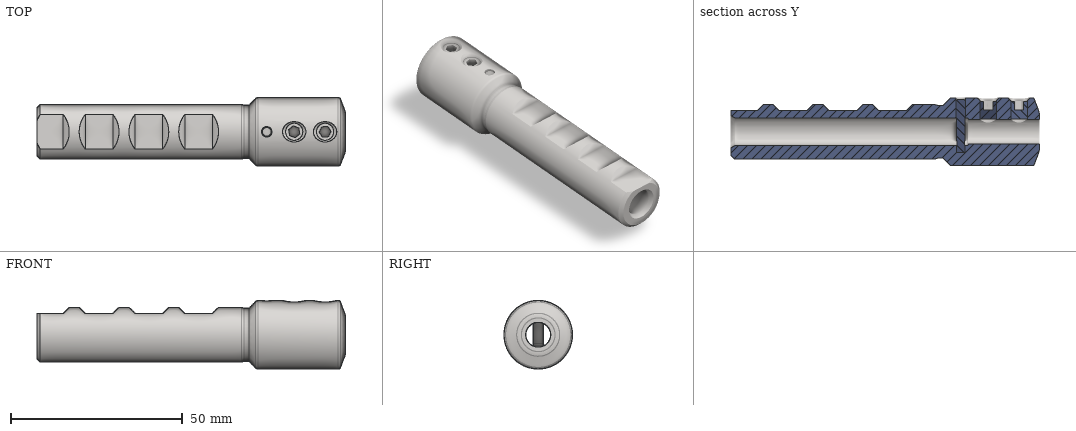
import cadquery as cq
import math

total_length = 90.0
shank_radius = 8.0
head_radius = 10.0

rear_chamfer_length = 1.0
rear_chamfer_height = 1.05

rear_bore_radius = 4.0
front_bore_radius = 3.6
mouth_radius = 4.75
mouth_half_angle = math.radians(30)
shoulder_half_angle = math.radians(59)
bore_shoulder_x = 69.0

undercut_start = 59.6
undercut_floor_start = 60.4
undercut_floor_end = 61.65
undercut_depth = 0.25
undercut_fillet = 0.4

back_slope = math.radians(45)
back_edge_radius = 1.0
front_slope = math.radians(69)
front_edge_start = 87.8
front_edge_radius = 0.75
face_edge_radius = 3.8

flat_height = 6.2
flat_length = 8.0
flat_pitch = 14.5
flat_count = 4
first_flat_center = 3.65

pin_x = 67.0
pin_radius = 1.5
pin_tip_radius = 1.45
pin_top = 9.4
pin_top_chamfer = 0.2
pin_taper_top = -2.6
pin_taper_bottom = -3.1
pin_bottom = -6.0

screws_x_and_turn = [(75.0, 39.0), (84.0, 4.0)]
screw_radius = 2.5
screw_top = 8.9
countersink_radius = 3.4
hex_across_flats = 3.0
hex_depth = 2.5


def turned_outside():
    undercut_radius = shank_radius - undercut_depth

    root_end_x = undercut_floor_end + undercut_fillet * math.sin(back_slope)
    root_end_radius = undercut_radius + undercut_fillet * (1 - math.cos(back_slope))
    back_end_radius = head_radius - back_edge_radius * (1 - math.cos(back_slope))
    back_end_x = root_end_x + (back_end_radius - root_end_radius) / math.tan(back_slope)
    head_start = back_end_x + back_edge_radius * math.sin(back_slope)

    front_start_x = front_edge_start + front_edge_radius * math.sin(front_slope)
    front_start_radius = head_radius - front_edge_radius * (1 - math.cos(front_slope))
    front_end_x = total_length - face_edge_radius * (1 - math.sin(front_slope))
    front_end_radius = front_start_radius - (front_end_x - front_start_x) * math.tan(front_slope)
    face_radius = front_end_radius - face_edge_radius * math.cos(front_slope)

    outline = (
        cq.Workplane("XY")
        .moveTo(0, 0)
        .lineTo(0, shank_radius - rear_chamfer_height)
        .lineTo(rear_chamfer_length, shank_radius)
        .lineTo(undercut_start, shank_radius)
        .lineTo(undercut_floor_start, undercut_radius)
        .lineTo(undercut_floor_end, undercut_radius)
        .tangentArcPoint((root_end_x, root_end_radius), relative=False)
        .lineTo(back_end_x, back_end_radius)
        .tangentArcPoint((head_start, head_radius), relative=False)
        .lineTo(front_edge_start, head_radius)
        .tangentArcPoint((front_start_x, front_start_radius), relative=False)
        .lineTo(front_end_x, front_end_radius)
        .tangentArcPoint((total_length, face_radius), relative=False)
        .lineTo(total_length, 0)
        .close()
    )
    return outline.revolve(360, (0, 0, 0), (1, 0, 0))


def bore_cutter():
    mouth_depth = (mouth_radius - rear_bore_radius) / math.tan(mouth_half_angle)
    shoulder_depth = (rear_bore_radius - front_bore_radius) / math.tan(shoulder_half_angle)
    outline = (
        cq.Workplane("XY")
        .moveTo(0, 0)
        .lineTo(0, mouth_radius)
        .lineTo(mouth_depth, rear_bore_radius)
        .lineTo(bore_shoulder_x, rear_bore_radius)
        .lineTo(bore_shoulder_x + shoulder_depth, front_bore_radius)
        .lineTo(total_length, front_bore_radius)
        .lineTo(total_length, 0)
        .close()
    )
    return outline.revolve(360, (0, 0, 0), (1, 0, 0))


def flat_cutter(center):
    half_length = flat_length / 2
    run_out = head_radius - flat_height
    outline = [
        (center - half_length, flat_height),
        (center + half_length, flat_height),
        (center + half_length + run_out, head_radius),
        (center - half_length - run_out, head_radius),
    ]
    return cq.Workplane("XZ").polyline(outline).close().extrude(shank_radius, both=True)


def pin_blank(top):
    outline = (
        cq.Workplane("XZ", origin=(pin_x, 0, 0))
        .moveTo(0, pin_bottom)
        .lineTo(pin_tip_radius, pin_bottom)
        .lineTo(pin_tip_radius, pin_taper_bottom)
        .lineTo(pin_radius, pin_taper_top)
        .lineTo(pin_radius, top)
        .lineTo(0, top)
        .close()
    )
    return outline.revolve(360, (0, 0, 0), (0, 1, 0))


def screw_hole_cutter(x):
    countersink_depth = countersink_radius - screw_radius
    outline = (
        cq.Workplane("XZ", origin=(x, 0, 0))
        .moveTo(0, 0)
        .lineTo(screw_radius, 0)
        .lineTo(screw_radius, head_radius - countersink_depth)
        .lineTo(countersink_radius, head_radius)
        .lineTo(0, head_radius)
        .close()
    )
    return outline.revolve(360, (0, 0, 0), (0, 1, 0))


def make_holder():
    body = turned_outside().cut(bore_cutter())
    for i in range(flat_count):
        body = body.cut(flat_cutter(first_flat_center + i * flat_pitch))
    body = body.cut(pin_blank(head_radius))
    for x, _ in screws_x_and_turn:
        body = body.cut(screw_hole_cutter(x))
    return body


def make_pin():
    return pin_blank(pin_top).faces(">Z").chamfer(pin_top_chamfer)


def make_set_screw(x, turn):
    length = screw_top - front_bore_radius
    screw = cq.Workplane("XY", origin=(x, 0, front_bore_radius)).circle(screw_radius).extrude(length)
    socket = (
        cq.Workplane("XY", origin=(x, 0, screw_top))
        .transformed(rotate=(0, 0, turn))
        .polygon(6, hex_across_flats / math.cos(math.pi / 6))
        .extrude(-hex_depth)
    )
    return screw.cut(socket)


holder = make_holder()
pin = make_pin()
set_screws = [make_set_screw(x, turn) for x, turn in screws_x_and_turn]

result = cq.Compound.makeCompound([holder.val(), pin.val(), *[screw.val() for screw in set_screws]])